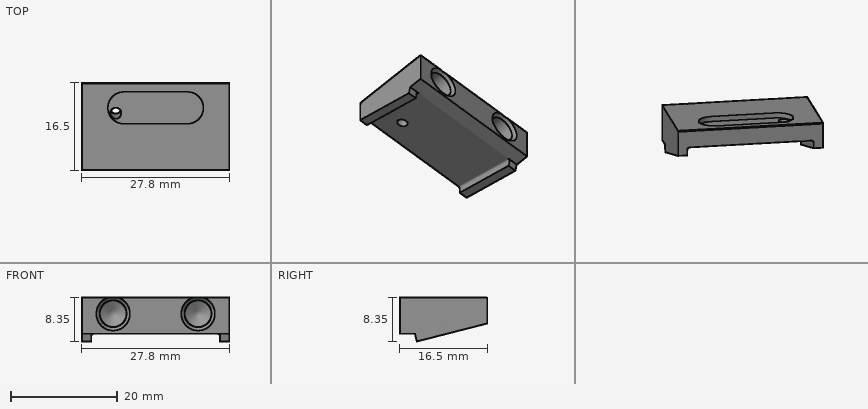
import cadquery as cq
import math


LENGTH = 27.8
DEPTH = 16.5
HEIGHT = 8.35
BACK_HEIGHT = 4.95
FRONT_HEIGHT = 6.9
TOE_Y = 3.2
BACK_CHAMFER = 0.2

SLOPE = math.atan2(HEIGHT - BACK_HEIGHT, DEPTH - TOE_Y)

TOE_RISE = HEIGHT - FRONT_HEIGHT
STEP_Y = TOE_Y - TOE_RISE * math.tan(SLOPE)

FOOT_WIDTH = 1.8
CHANNEL_WIDTH = LENGTH - 2 * FOOT_WIDTH
CHANNEL_DEPTH = TOE_RISE / math.cos(SLOPE)
CHANNEL_FILLET = 0.4

OVERSHOOT = 5.0

SLOT_LENGTH = 18.0
SLOT_WIDTH = 6.0
SLOT_DEPTH = 1.0
SLOT_Y = 11.75

VENT_DIAMETER = 2.0
VENT_X = -7.5
VENT_Y = 10.72

BORE_DIAMETER = 5.1
DRILL_POINT_DIAMETER = 5.0
BORE_SPACING = 16.0
BORE_DROP = 3.1
BORE_DEPTH = 3.5
DRILL_POINT_ANGLE = math.radians(118)
COUNTERSINK_DIAMETER = 6.35
COUNTERSINK_ANGLE = math.radians(90)


def make_body():
    """Extrude the wedge profile along X."""
    return (
        cq.Workplane("YZ", origin=(-LENGTH / 2, 0, 0))
        .moveTo(0, 0)
        .lineTo(DEPTH - BACK_CHAMFER, 0)
        .lineTo(DEPTH, -BACK_CHAMFER)
        .lineTo(DEPTH, -BACK_HEIGHT)
        .lineTo(TOE_Y, -HEIGHT)
        .lineTo(STEP_Y, -FRONT_HEIGHT)
        .lineTo(0, -FRONT_HEIGHT)
        .close()
        .extrude(LENGTH)
    )


def make_channel():
    """Bar lying along the underside slope, with its two upper edges rounded."""
    run = (DEPTH - TOE_Y) / math.cos(SLOPE) + 2 * OVERSHOOT
    bar_height = CHANNEL_DEPTH + OVERSHOOT
    return (
        cq.Workplane("XY")
        .box(CHANNEL_WIDTH, run, bar_height, centered=(True, False, False))
        .edges("|Y and >Z")
        .fillet(CHANNEL_FILLET)
        .translate((0, -OVERSHOOT, -OVERSHOOT))
        .rotate((0, 0, 0), (1, 0, 0), math.degrees(SLOPE))
        .translate((0, TOE_Y, -HEIGHT))
    )


def make_slot():
    """Round-ended pocket sunk into the top face."""
    return (
        cq.Workplane("XY", origin=(0, SLOT_Y, 0))
        .slot2D(SLOT_LENGTH, SLOT_WIDTH)
        .extrude(-SLOT_DEPTH)
    )


def make_vent():
    """Tilted cylinder, trimmed to start at the slot floor."""
    axis = cq.Vector(0, math.sin(SLOPE), -math.cos(SLOPE))
    center = cq.Vector(VENT_X, VENT_Y, -SLOT_DEPTH)
    start = center - axis * OVERSHOOT
    cylinder = cq.Solid.makeCylinder(VENT_DIAMETER / 2, HEIGHT + OVERSHOOT, start, axis)
    above_floor = (
        cq.Workplane("XY", origin=(0, 0, -SLOT_DEPTH))
        .center(VENT_X, VENT_Y)
        .rect(DEPTH, DEPTH)
        .extrude(HEIGHT)
    )
    return cq.Workplane(cylinder).cut(above_floor)


def make_bore(center_x):
    """Blind drilled hole with a countersunk mouth, ending in a narrow ledge and a drill point."""
    bore_radius = BORE_DIAMETER / 2
    mouth_radius = COUNTERSINK_DIAMETER / 2
    countersink_depth = (mouth_radius - bore_radius) / math.tan(COUNTERSINK_ANGLE / 2)
    point_radius = DRILL_POINT_DIAMETER / 2
    point_depth = point_radius / math.tan(DRILL_POINT_ANGLE / 2)
    return (
        cq.Workplane("XY")
        .moveTo(0, 0)
        .lineTo(mouth_radius, 0)
        .lineTo(bore_radius, countersink_depth)
        .lineTo(bore_radius, BORE_DEPTH)
        .lineTo(point_radius, BORE_DEPTH)
        .lineTo(0, BORE_DEPTH + point_depth)
        .close()
        .revolve(axisStart=(0, 0, 0), axisEnd=(0, 1, 0))
        .translate((center_x, 0, -BORE_DROP))
    )


result = make_body().cut(make_channel()).cut(make_slot()).cut(make_vent())
for side in (-1, 1):
    result = result.cut(make_bore(side * BORE_SPACING / 2))